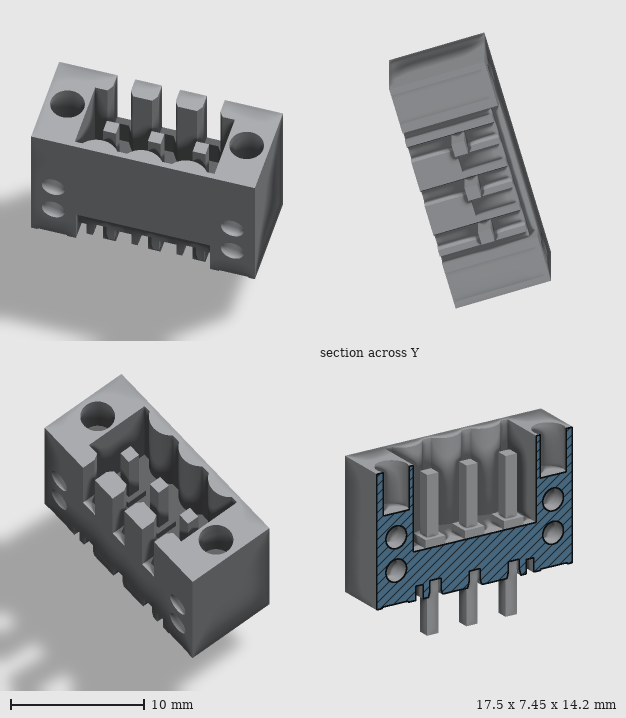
import cadquery as cq

housing_length = 17.5
housing_depth = 7.45
housing_height = 11.0
front_y = -housing_depth / 2
back_y = housing_depth / 2

pitch = 3.5
contact_xs = [-pitch, 0.0, pitch]
flange_xs = [-2 * pitch, 2 * pitch]

pin_width = 1.0
pin_y = -0.23
pin_top = 9.76
pin_tail = 3.24

cavity_length = 10.92
cavity_front_y = -3.27
cavity_back_y = 2.12
cavity_floor = 4.0

rib_width = 2.73
rib_projection = 0.7

groove_mouth = 2.0
groove_tip = 0.74
groove_depth = 1.03
slot_width = 1.4
slot_depth = 5.02

collar_width = 1.75
collar_height = 0.7

screw_hole_diameter = 2.6
screw_hole_y = 0.02
screw_hole_depth = 3.5
cross_hole_diameter = 1.8
cross_hole_zs = [2.82, 5.51]

recess_length = 10.46
recess_height = 2.84
recess_depth = 0.63
notch_height = 1.15
end_notch_width = 0.63
middle_notch_width = 1.35
pin_notch_width = 0.95
pin_notch_height = 1.33
pin_notch_flare_width = 1.22
pin_notch_flare_height = 0.5
foot_groove_width = 2.31
foot_groove_height = 0.1
foot_groove_x = 7.09


def block(x_center, width, y_start, y_end, z_start, z_end):
    """Box given by its X centre and width and by its limits along Y and Z."""
    return (
        cq.Workplane("XY")
        .box(width, y_end - y_start, z_end - z_start, centered=(True, False, False))
        .translate((x_center, y_start, z_start))
    )


def square_column(x_center, width, z_start, z_end):
    """Square column on the axis of a pin."""
    return block(x_center, width, pin_y - width / 2, pin_y + width / 2, z_start, z_end)


def make_rib(x_center):
    """Arc-nosed rib running up the front wall of the cavity."""
    return (
        cq.Workplane("XY", origin=(x_center, cavity_front_y, cavity_floor))
        .moveTo(-rib_width / 2, 0)
        .threePointArc((0, rib_projection), (rib_width / 2, 0))
        .close()
        .extrude(housing_height - cavity_floor)
    )


def make_tapered_groove(x_center):
    """Groove that narrows into the back wall of the cavity."""
    return (
        cq.Workplane("XY", origin=(x_center, cavity_back_y, cavity_floor))
        .moveTo(-groove_mouth / 2, 0)
        .lineTo(groove_mouth / 2, 0)
        .lineTo(groove_tip / 2, groove_depth)
        .lineTo(-groove_tip / 2, groove_depth)
        .close()
        .extrude(housing_height - cavity_floor)
    )


def make_cavity():
    """Space of the mating cavity, with its ribs, grooves, slots and collars."""
    cavity = block(0, cavity_length, cavity_front_y, cavity_back_y, cavity_floor, housing_height)
    slot_floor = housing_height - slot_depth
    for x in contact_xs:
        cavity = cavity.cut(make_rib(x))
        cavity = cavity.union(make_tapered_groove(x))
        cavity = cavity.union(block(x, slot_width, cavity_back_y, back_y, slot_floor, housing_height))
        cavity = cavity.cut(square_column(x, collar_width, cavity_floor, cavity_floor + collar_height))
    return cavity


def make_pin_notch(x_center):
    """Notch under a pin, through the housing along Y, flared at the bottom."""
    half_width = pin_notch_width / 2
    half_flare = pin_notch_flare_width / 2
    return (
        cq.Workplane("XZ", origin=(x_center, back_y, 0))
        .moveTo(-half_flare, 0)
        .lineTo(-half_width, pin_notch_flare_height)
        .lineTo(-half_width, pin_notch_height)
        .lineTo(half_width, pin_notch_height)
        .lineTo(half_width, pin_notch_flare_height)
        .lineTo(half_flare, 0)
        .close()
        .extrude(housing_depth)
    )


def cut_flange_holes(body):
    """Blind screw holes from the top and two through holes along Y in each flange."""
    screw_holes = (
        cq.Workplane("XY", origin=(0, 0, housing_height))
        .pushPoints([(x, screw_hole_y) for x in flange_xs])
        .circle(screw_hole_diameter / 2)
        .extrude(-screw_hole_depth)
    )
    cross_holes = (
        cq.Workplane("XZ", origin=(0, back_y, 0))
        .pushPoints([(x, z) for x in flange_xs for z in cross_hole_zs])
        .circle(cross_hole_diameter / 2)
        .extrude(housing_depth)
    )
    return body.cut(screw_holes).cut(cross_holes)


def cut_underside(body):
    """Front recess, the notches that leave the small feet, and the flange grooves."""
    body = body.cut(block(0, recess_length, front_y, front_y + recess_depth, 0, recess_height))
    end_notch_x = (recess_length - end_notch_width) / 2
    pin_back_y = pin_y + pin_width / 2
    for side in (-1, 1):
        body = body.cut(block(side * end_notch_x, end_notch_width, front_y, back_y, 0, notch_height))
        body = body.cut(
            block(side * pitch / 2, middle_notch_width, front_y, pin_back_y, 0, notch_height)
        )
        body = body.cut(
            block(side * foot_groove_x, foot_groove_width, front_y, back_y, 0, foot_groove_height)
        )
    for x in contact_xs:
        body = body.cut(make_pin_notch(x))
    return body


def make_pin(x_center):
    """Straight square pin."""
    return square_column(x_center, pin_width, -pin_tail, pin_top)


def make_housing():
    """Housing with a matching hole for every pin."""
    body = block(0, housing_length, front_y, back_y, 0, housing_height)
    body = body.cut(make_cavity())
    body = cut_flange_holes(body)
    body = cut_underside(body)
    for x in contact_xs:
        body = body.cut(make_pin(x))
    return body


housing = make_housing()
pins = [make_pin(x) for x in contact_xs]

result = cq.Compound.makeCompound([housing.val(), *[pin.val() for pin in pins]])